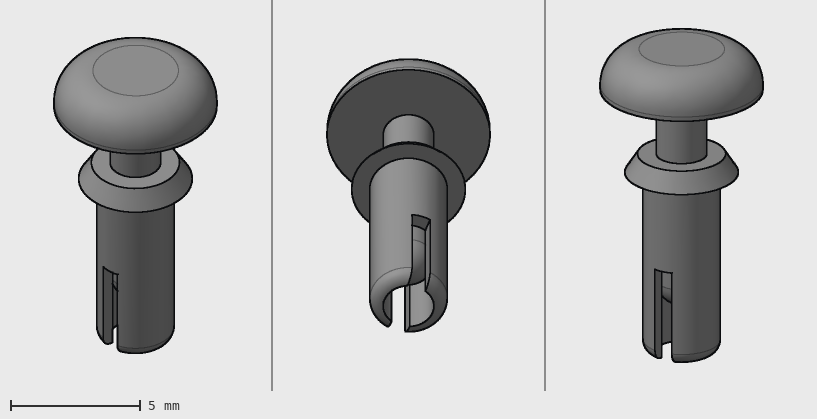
import cadquery as cq

total_height = 12.7

head_diameter = 6.3
head_height = 1.69
head_round = 1.5
shank_diameter = 1.95
shank_tip_z = 2.02

sleeve_diameter = 3.0
sleeve_end_round = 0.51
sleeve_top_z = 8.29
collar_height = 0.77
collar_top_diameter = 3.4
collar_base_diameter = 4.4
slot_width = 0.74
slot_height = 3.9

collar_base_z = sleeve_top_z - collar_height
head_base_z = total_height - head_height


def cylinder(diameter, bottom_z, top_z):
    """Upright cylinder on the Z axis."""
    return cq.Workplane("XY").workplane(offset=bottom_z).circle(diameter / 2).extrude(top_z - bottom_z)


def make_pin():
    """Head with a rounded upper edge, on a shank with a hemispherical tip."""
    head = cylinder(head_diameter, head_base_z, total_height).faces(">Z").edges().fillet(head_round)
    tip_radius = shank_diameter / 2
    tip_center_z = shank_tip_z + tip_radius
    shank = cylinder(shank_diameter, tip_center_z, head_base_z)
    tip = cq.Workplane("XY").sphere(tip_radius).translate((0, 0, tip_center_z))
    return head.union(shank).union(tip)


def make_collar():
    """Cone frustum that narrows towards the pin head."""
    return (
        cq.Workplane("XY")
        .workplane(offset=collar_base_z)
        .circle(collar_base_diameter / 2)
        .workplane(offset=collar_height)
        .circle(collar_top_diameter / 2)
        .loft(ruled=True)
    )


def make_sleeve():
    """Collared tube, bored through for the shank and split at its lower end."""
    tube = cylinder(sleeve_diameter, 0, collar_base_z).faces("<Z").edges().fillet(sleeve_end_round)
    bore = cylinder(shank_diameter, 0, sleeve_top_z)
    slot = cq.Workplane("XY").box(slot_width, sleeve_diameter, slot_height, centered=(True, True, False))
    return tube.union(make_collar()).cut(bore).cut(slot)


pin = make_pin()
sleeve = make_sleeve()

result = cq.Compound.makeCompound([pin.val(), sleeve.val()])